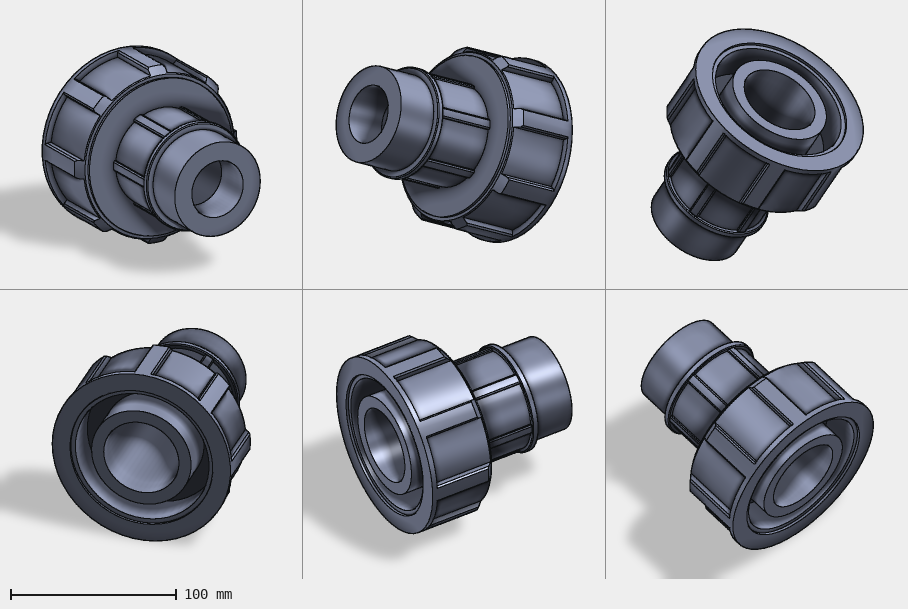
import cadquery as cq
import math

FLANGE_END = 3.4
RIB_CHAMFER_START = 39.2
NUT_SHOULDER = 43.9
NUT_END = 45.6
COLLAR_START = 83.9
COLLAR_END = 87.9
TOTAL_LENGTH = 114.0

NUT_D = 113.0
PANEL_D = 104.9
NUT_END_D = 99.4
NUT_RIB_COUNT = 8
NUT_RIB_WIDTH = 11.6
NUT_RIB_TOP_WIDTH = 9.9
NUT_RIB_SHOULDER = 55.1

MOUTH_D = 90.4
MOUTH_DEPTH = 1.7
CAVITY_D = 84.7
CAVITY_DEPTH = 25.3

SLEEVE_D = 63.0
BORE_ENTRY_D = 47.7
BORE_EXIT_D = 35.8

RIB_ROOT_DEPTH = 2.3

SLEEVE_RIB_COUNT = 6
SLEEVE_RIB_D = 66.0
SLEEVE_RIB_WIDTH = 6.5
SLEEVE_RIB_TOP_WIDTH = 4.7
SLEEVE_RIB_SHOULDER = 32.3

COLLAR_D = 68.5
COLLAR_CHAMFER_LENGTH = 0.5
COLLAR_CHAMFER_HEIGHT = 0.8
SPIGOT_D = 59.6


def cylinder(diameter, start, end):
    """Solid cylinder along X between two axial positions."""
    return cq.Workplane("YZ").workplane(offset=start).circle(diameter / 2).extrude(end - start)


def revolve_profile(points):
    """Turn an (axial position, radius) outline about the X axis."""
    return cq.Workplane("XY").polyline(points).close().revolve(360, (0, 0, 0), (1, 0, 0))


def rib_ring(count, diameter, width, top_width, shoulder, root, start, end):
    """Ribs spaced evenly from +Y, with chamfered edges and a rounded crown."""
    half, half_top = width / 2, top_width / 2
    radius = diameter / 2
    corner = math.sqrt(radius**2 - half_top**2)
    rib = (
        cq.Workplane("YZ").workplane(offset=start)
        .moveTo(root, -half)
        .lineTo(shoulder, -half)
        .lineTo(corner, -half_top)
        .threePointArc((radius, 0), (corner, half_top))
        .lineTo(shoulder, half)
        .lineTo(root, half)
        .close()
        .extrude(end - start)
    )
    ring = rib
    for index in range(1, count):
        ring = ring.union(rib.rotate((0, 0, 0), (1, 0, 0), 360 * index / count))
    return ring


def make_nut():
    """Ribbed nut with a full flange at its mouth and a 45 degree chamfered back."""
    radius = NUT_D / 2
    body = cylinder(NUT_D, 0, FLANGE_END).union(cylinder(PANEL_D, 0, NUT_SHOULDER))
    body = body.union(rib_ring(
        NUT_RIB_COUNT, NUT_D, NUT_RIB_WIDTH, NUT_RIB_TOP_WIDTH, NUT_RIB_SHOULDER,
        PANEL_D / 2 - RIB_ROOT_DEPTH, 0, NUT_SHOULDER,
    ))
    chamfer = NUT_SHOULDER - RIB_CHAMFER_START
    envelope = revolve_profile([
        (0, 0),
        (0, radius),
        (RIB_CHAMFER_START, radius),
        (NUT_SHOULDER, radius - chamfer),
        (NUT_SHOULDER, 0),
    ])
    nut = body.intersect(envelope).union(cylinder(NUT_END_D, 0, NUT_END))
    mouth = cylinder(MOUTH_D, 0, MOUTH_DEPTH)
    return nut.cut(mouth).cut(cylinder(CAVITY_D, 0, CAVITY_DEPTH))


def make_collar():
    """Ring between sleeve and spigot, chamfered on both edges."""
    radius = COLLAR_D / 2
    face_radius = radius - COLLAR_CHAMFER_HEIGHT
    return revolve_profile([
        (COLLAR_START, 0),
        (COLLAR_START, face_radius),
        (COLLAR_START + COLLAR_CHAMFER_LENGTH, radius),
        (COLLAR_END - COLLAR_CHAMFER_LENGTH, radius),
        (COLLAR_END, face_radius),
        (COLLAR_END, 0),
    ])


def make_bore():
    """Through hole: a wide entry, a short cone under the collar and a narrow exit."""
    return revolve_profile([
        (0, 0),
        (0, BORE_ENTRY_D / 2),
        (COLLAR_START, BORE_ENTRY_D / 2),
        (COLLAR_END, BORE_EXIT_D / 2),
        (TOTAL_LENGTH, BORE_EXIT_D / 2),
        (TOTAL_LENGTH, 0),
    ])


sleeve = cylinder(SLEEVE_D, 0, COLLAR_END)
sleeve_ribs = rib_ring(
    SLEEVE_RIB_COUNT, SLEEVE_RIB_D, SLEEVE_RIB_WIDTH, SLEEVE_RIB_TOP_WIDTH, SLEEVE_RIB_SHOULDER,
    SLEEVE_D / 2 - RIB_ROOT_DEPTH, NUT_SHOULDER, COLLAR_END - COLLAR_CHAMFER_LENGTH,
)
spigot = cylinder(SPIGOT_D, COLLAR_START, TOTAL_LENGTH)

result = (
    make_nut()
    .union(sleeve)
    .union(sleeve_ribs)
    .union(make_collar())
    .union(spigot)
    .cut(make_bore())
)